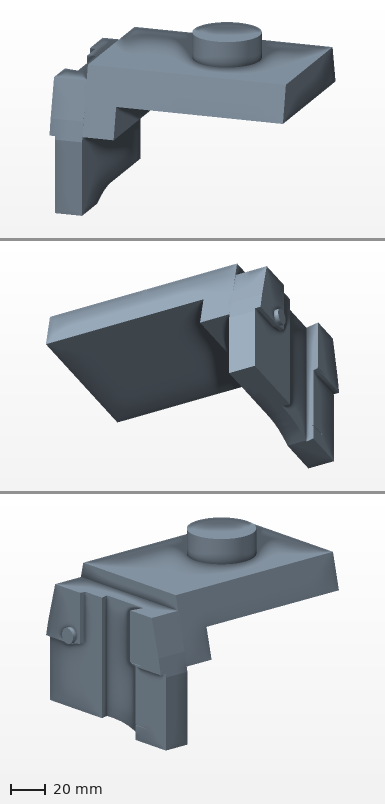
import cadquery as cq
import math


arm_length = 120.5
arm_top = 87.75
arm_thickness = 22.0
arm_top_width = 80.0
arm_foot_length = 19.0
arm_foot_bottom = 47.0
arm_foot_width = 99.0

disc_diameter = 39.9
disc_height = 15.25
disc_x = 70.5

jaw_width = 100.0
jaw_top_width = 83.5
jaw_bend_width = 95.3
jaw_top = 78.75
jaw_bend_z = 55.75
jaw_shoulder_z = 44.0
jaw_thickness = 20.0
jaw_lower_thickness = 16.5
jaw_raised_bottom = 6.0
bottom_arc_radius = 50.0

lip_bottom = 46.0
lip_arc_half_width = 28.25
lip_arc_rise = 4.0

channel_depth = 8.5
channel_edge_right = -23.1
channel_edge_left = 5.3
relief_edge = 20.2
wall_slope = math.tan(math.radians(12.0))

slit_height = 0.5
slit_depth = 0.5
upper_slit_z = 47.5
upper_slit_end = -32.0
lower_slit_z = 9.2
lower_slit_end = -34.0

pin_diameter = 9.5
pin_length = 2.75
pin_y = 28.0
pin_z = 51.4


def make_arm():
    """L-shaped arm whose two long sides lean outward toward the bottom."""
    side_profile = (
        cq.Workplane("XZ")
        .moveTo(0, arm_top)
        .lineTo(arm_length, arm_top)
        .lineTo(arm_length, arm_top - arm_thickness)
        .lineTo(arm_foot_length, arm_top - arm_thickness)
        .lineTo(arm_foot_length, arm_foot_bottom)
        .lineTo(0, arm_foot_bottom)
        .close()
        .extrude(arm_foot_width / 2, both=True)
    )
    end_profile = (
        cq.Workplane("YZ")
        .moveTo(-arm_top_width / 2, arm_top)
        .lineTo(arm_top_width / 2, arm_top)
        .lineTo(arm_foot_width / 2, arm_foot_bottom)
        .lineTo(-arm_foot_width / 2, arm_foot_bottom)
        .close()
        .extrude(arm_length)
    )
    return side_profile.intersect(end_profile)


def make_disc():
    """Round disc standing on the arm."""
    return (
        cq.Workplane("XY")
        .workplane(offset=arm_top)
        .center(disc_x, 0)
        .circle(disc_diameter / 2)
        .extrude(disc_height)
    )


def make_jaw_body():
    """Full-thickness jaw with tapered shoulders and a stepped, curved bottom edge."""
    arc_drop_center = jaw_raised_bottom - bottom_arc_radius
    arc_end_y = -math.sqrt(bottom_arc_radius**2 - arc_drop_center**2)
    half_arc_angle = math.asin(-arc_end_y / bottom_arc_radius) / 2
    arc_middle = (
        -bottom_arc_radius * math.sin(half_arc_angle),
        arc_drop_center + bottom_arc_radius * math.cos(half_arc_angle),
    )
    return (
        cq.Workplane("YZ")
        .moveTo(-jaw_top_width / 2, jaw_top)
        .lineTo(jaw_top_width / 2, jaw_top)
        .lineTo(jaw_bend_width / 2, jaw_bend_z)
        .lineTo(jaw_width / 2, jaw_shoulder_z)
        .lineTo(jaw_width / 2, jaw_raised_bottom)
        .lineTo(0, jaw_raised_bottom)
        .threePointArc(arc_middle, (arc_end_y, 0))
        .lineTo(-jaw_width / 2, 0)
        .lineTo(-jaw_width / 2, jaw_shoulder_z)
        .lineTo(-jaw_bend_width / 2, jaw_bend_z)
        .close()
        .extrude(-jaw_thickness)
    )


def make_lip_undercut():
    """Material in front of the lower jaw, bounded above by the arched lip bottom."""
    return (
        cq.Workplane("YZ")
        .workplane(offset=-jaw_thickness)
        .moveTo(-jaw_width / 2, 0)
        .lineTo(-jaw_width / 2, lip_bottom)
        .lineTo(-lip_arc_half_width, lip_bottom)
        .threePointArc((0, lip_bottom + lip_arc_rise), (lip_arc_half_width, lip_bottom))
        .lineTo(jaw_width / 2, lip_bottom)
        .lineTo(jaw_width / 2, 0)
        .close()
        .extrude(jaw_thickness - jaw_lower_thickness)
    )


def make_channel():
    """Vertical channel with an undercut wall on each side and a shallow relief beside it."""
    face_x = -jaw_thickness
    relief_x = -jaw_lower_thickness
    floor_x = face_x + channel_depth
    relief_depth = relief_x - face_x
    return (
        cq.Workplane("XY")
        .moveTo(face_x, channel_edge_right)
        .lineTo(floor_x, channel_edge_right - channel_depth * wall_slope)
        .lineTo(floor_x, channel_edge_left + (floor_x - relief_x) * wall_slope)
        .lineTo(relief_x, channel_edge_left)
        .lineTo(relief_x, relief_edge - relief_depth * wall_slope)
        .lineTo(face_x, relief_edge)
        .close()
        .extrude(jaw_top)
    )


def make_slit(face_x, center_z, end_y):
    """Thin horizontal slit in a jaw face, running from the channel to end_y."""
    return cq.Workplane("XY").box(
        slit_depth, channel_edge_right - end_y, slit_height, centered=(False, False, True)
    ).translate((face_x, end_y, center_z))


def make_pin():
    """Short pin standing out from the jaw face."""
    return (
        cq.Workplane("YZ")
        .workplane(offset=-jaw_thickness)
        .center(pin_y, pin_z)
        .circle(pin_diameter / 2)
        .extrude(-pin_length)
    )


jaw = make_jaw_body().cut(make_lip_undercut()).cut(make_channel())
jaw = jaw.cut(make_slit(-jaw_thickness, upper_slit_z, upper_slit_end))
jaw = jaw.cut(make_slit(-jaw_lower_thickness, lower_slit_z, lower_slit_end))

result = make_arm().union(make_disc()).union(jaw).union(make_pin())